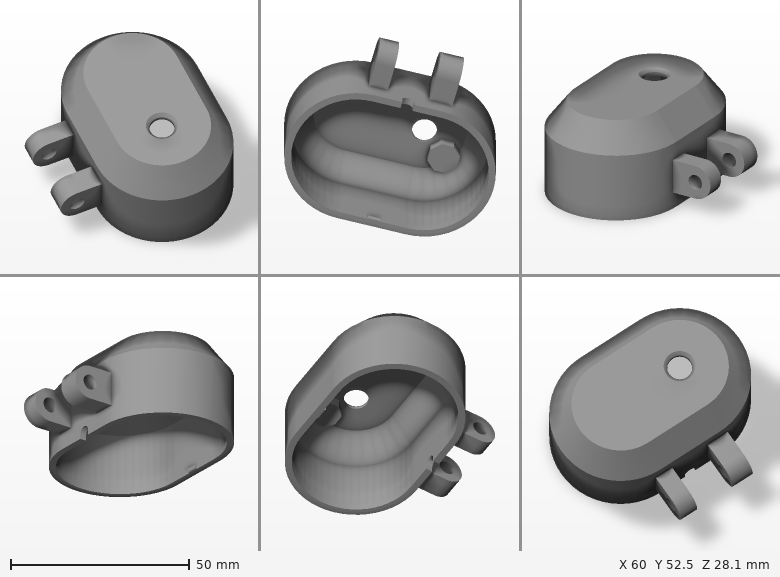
import cadquery as cq
import math

length = 60.0
width = 40.0
depth = 52.5
height = 28.15
side_height = 20.0
top_inset = 6.25
wall = 2.0

lug_height = 10.0
lug_center_z = side_height / 2
lug_hole_diameter = 4.5
lug_gap_half = 6.0
left_lug_width = 5.5
right_lug_width = 6.8

top_hole_diameter = 7.0
countersink_diameter = 9.0

notch_width = 3.55
notch_center_z = 1.5

catch_reach = 0.6
catch_length = notch_width
catch_rounding = 0.55

post_side = 3.55
post_drop = 3.0
post_offset_x = 7.15
post_offset_y = 5.7

end_center_x = (length - width) / 2
roof_z = height - wall
joint = 0.6


def rounded_end_block(offset, top_z):
    """Capsule-shaped block with a sloped shoulder, shrunk sideways by offset."""
    radius = width / 2 - offset
    top_radius = radius - top_inset
    shoulder_z = top_z - (height - side_height)
    half_profile = [(0, 0), (radius, 0), (radius, shoulder_z), (top_radius, top_z), (0, top_z)]
    full_profile = half_profile[1:4] + [(-top_radius, top_z), (-radius, shoulder_z), (-radius, 0)]
    block = (
        cq.Workplane("YZ", origin=(-end_center_x, 0, 0))
        .polyline(full_profile)
        .close()
        .extrude(2 * end_center_x)
    )
    for center_x in (-end_center_x, end_center_x):
        round_end = cq.Workplane("XZ").polyline(half_profile).close().revolve(360, (0, 0), (0, 1))
        block = block.union(round_end.translate((center_x, 0, 0)))
    return block


def hinge_lug(x_start, lug_width):
    """Flat lug reaching out of the front wall, with a rounded end and a pin hole."""
    pin_y = width / 2 - depth + lug_height / 2
    root_y = joint - width / 2
    start = cq.Workplane("YZ", origin=(x_start, 0, 0))
    bar = (
        start.center((pin_y + root_y) / 2, lug_center_z)
        .rect(root_y - pin_y, lug_height)
        .extrude(lug_width)
    )
    rounded_end = start.center(pin_y, lug_center_z).circle(lug_height / 2).extrude(lug_width)
    pin_hole = start.center(pin_y, lug_center_z).circle(lug_hole_diameter / 2).extrude(lug_width)
    return bar.union(rounded_end).cut(pin_hole)


def countersunk_hole():
    """Through hole in the roof with a 45 degree countersink."""
    countersink_depth = (countersink_diameter - top_hole_diameter) / 2
    bore = (
        cq.Workplane("XY", origin=(end_center_x, 0, roof_z - joint))
        .circle(top_hole_diameter / 2)
        .extrude(wall + joint)
    )
    countersink = (
        cq.Workplane("XY", origin=(end_center_x, 0, height))
        .circle(countersink_diameter / 2)
        .extrude(-countersink_depth, taper=45)
    )
    return bore.union(countersink)


def front_notch():
    """Arched notch through the lower edge of the front wall."""
    start = cq.Workplane("XZ", origin=(0, joint + wall - width / 2, 0))
    notch_depth = wall + 2 * joint
    arch = start.center(0, notch_center_z).circle(notch_width / 2).extrude(notch_depth)
    gate = start.center(0, notch_center_z / 2).rect(notch_width, notch_center_z).extrude(notch_depth)
    return arch.union(gate)


def rear_catch():
    """Small rounded catch on the inside of the rear wall, facing the notch."""
    front_y = width / 2 - wall - catch_reach
    return (
        cq.Workplane("XY")
        .box(catch_length, catch_reach + joint, notch_center_z, centered=(True, False, False))
        .translate((0, front_y, 0))
        .faces("<Y")
        .edges("|X")
        .fillet(catch_rounding)
    )


def roof_post():
    """Octagonal post hanging from the roof beside the top hole."""
    corner_diameter = post_side / math.sin(math.pi / 8)
    return (
        cq.Workplane("XY", origin=(end_center_x + post_offset_x, post_offset_y, roof_z - post_drop))
        .transformed(rotate=(0, 0, 22.5))
        .polygon(8, corner_diameter)
        .extrude(post_drop + joint)
    )


body = rounded_end_block(0, height).cut(rounded_end_block(wall, roof_z))
body = body.union(hinge_lug(-lug_gap_half - left_lug_width, left_lug_width))
body = body.union(hinge_lug(lug_gap_half, right_lug_width))
body = body.union(roof_post()).union(rear_catch())
result = body.cut(countersunk_hole()).cut(front_notch())